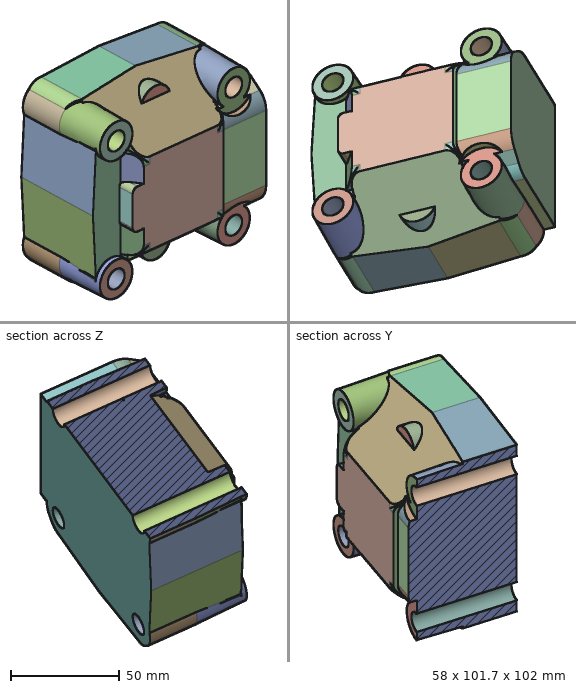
import cadquery as cq
import math

HOLE_OFFSET = 36.75
HOLE_DIAMETER = 10.5
BOSS_BASE_RADIUS = 10.85
BOSS_TIP_RADIUS = 10.15
BOSS_END = 52.0
HEAD_CLEARANCE_RADIUS = 13.0

SIDE_LENGTH = 25.0
STEP_DEPTH = 49.0
COVER_DEPTH = 58.0
TOP_RIDGE = 51.0
FRONT_RIDGE = 48.55
WALL_END_Y = 36.2
WALL_END_Z = 48.6
CORNER_MIDDLE = (41.1, 47.5)
CORNER_ANGLE = math.radians(49)
FRONT_CORNER_Z = 32.6
FLANK_HALF_HEIGHT = 34.0
FLANK_LIP_REACH = 46.9
FLANK_LIP_HEIGHT = 36.0

COVER_HALF = 25.0
ROOF_SLOPE = (TOP_RIDGE - COVER_HALF) / (COVER_DEPTH - SIDE_LENGTH)
ROOF_ANGLE = math.atan(ROOF_SLOPE)
COVER_SIDE_SLOPE = 0.7
COVER_SIDE_HALF = 27.0
COVER_CORNER_RADIUS = 6.0
CORNER_CUT_DEPTH = 3.2

RIB_HALF_HEIGHT = 12.0
RIB_REACH = 31.95
RIB_RADIUS = 3.0

PAD_REACH = 53.15
PAD_HALF_HEIGHT = 36.1
PAD_DEPTH = 56.35
PAD_CURVE_START = 38.15
PAD_BEVEL_START = 46.5

HUMP_RADIUS = 18.63 / 2
HUMP_CENTRE_Z = 36.9
HUMP_END = 38.8

SIDES = (-1, 1)


def on_boss_circle(angle, y_side, z_side):
    """Point of a corner circle; the angle is measured from Y towards Z."""
    y = HOLE_OFFSET + BOSS_BASE_RADIUS * math.cos(angle)
    z = HOLE_OFFSET + BOSS_BASE_RADIUS * math.sin(angle)
    return (y_side * y, z_side * z)


def extrude_x(outline, start, end):
    """Extrude a closed YZ outline, drawn at X = 0, between two depths."""
    return outline.extrude(end - start).translate((start, 0, 0))


def extrude_both(plane, points, half):
    """Extrude a closed polygon to both sides of its plane."""
    return cq.Workplane(plane).polyline(points).close().extrude(half, both=True)


def corner_start(y_side):
    """Angle on the boss circle where a corner begins, next to the side wall."""
    if y_side > 0:
        return 0
    return math.asin((FRONT_CORNER_Z - HOLE_OFFSET) / BOSS_BASE_RADIUS)


def base_quarter(y_side, z_side):
    """One quarter of the base: half a wall on each side and the two-arc corner between them."""
    start = corner_start(y_side)
    side_y = -FRONT_RIDGE if y_side < 0 else HOLE_OFFSET + BOSS_BASE_RADIUS
    outline = (
        cq.Workplane("YZ").lineTo(0, z_side * TOP_RIDGE)
        .lineTo(y_side * WALL_END_Y, z_side * WALL_END_Z)
        .threePointArc(
            (y_side * CORNER_MIDDLE[0], z_side * CORNER_MIDDLE[1]),
            on_boss_circle(CORNER_ANGLE, y_side, z_side),
        )
        .threePointArc(
            on_boss_circle((start + CORNER_ANGLE) / 2, y_side, z_side),
            on_boss_circle(start, y_side, z_side),
        )
        .lineTo(side_y, 0).close()
    )
    return extrude_x(outline, 0, STEP_DEPTH)


def make_base():
    """Base outline cut back by the roofs and, at its corners, to the start of the bosses."""
    base = cq.Workplane("YZ")
    for y_side in SIDES:
        for z_side in SIDES:
            base = base.union(base_quarter(y_side, z_side))
    end_half = COVER_HALF + ROOF_SLOPE * (COVER_DEPTH - STEP_DEPTH)
    roof = [
        (0, TOP_RIDGE), (SIDE_LENGTH, TOP_RIDGE), (STEP_DEPTH, end_half),
        (STEP_DEPTH, -end_half), (SIDE_LENGTH, -TOP_RIDGE), (0, -TOP_RIDGE),
    ]
    base = base.intersect(extrude_both("XZ", roof, PAD_REACH))
    joint = on_boss_circle(CORNER_ANGLE, 1, 1)[0]
    cut_depth = SIDE_LENGTH + CORNER_CUT_DEPTH
    plan = [
        (0, PAD_REACH), (SIDE_LENGTH, PAD_REACH), (SIDE_LENGTH, joint), (cut_depth, HOLE_OFFSET),
        (STEP_DEPTH, HOLE_OFFSET), (STEP_DEPTH, -HOLE_OFFSET), (cut_depth, -HOLE_OFFSET),
        (SIDE_LENGTH, -joint), (SIDE_LENGTH, -PAD_REACH), (0, -PAD_REACH),
    ]
    return base.intersect(extrude_both("XY", plan, TOP_RIDGE))


def make_front_flank():
    """-Y wall, carried past the straight side up to the shoulder between the bosses."""
    circle_start = on_boss_circle(corner_start(-1), -1, 1)
    taper = (FRONT_RIDGE + circle_start[0]) / FRONT_CORNER_Z
    edge_y = -FRONT_RIDGE + taper * FLANK_HALF_HEIGHT
    half = [
        (-FRONT_RIDGE, 0), (edge_y, FLANK_HALF_HEIGHT), (-FLANK_LIP_REACH, FLANK_HALF_HEIGHT),
        (-FLANK_LIP_REACH, FLANK_LIP_HEIGHT), (-HOLE_OFFSET, FLANK_LIP_HEIGHT),
    ]
    outline = half + [(y, -z) for y, z in reversed(half[1:])]
    return extrude_x(cq.Workplane("YZ").polyline(outline).close(), SIDE_LENGTH, STEP_DEPTH)


def make_cover_block(slope):
    """Cover block with two roofs sloping towards +Z and -Z and rounded sides in plan."""
    length = COVER_DEPTH - STEP_DEPTH
    start_half = COVER_HALF + slope * length
    roof = [
        (STEP_DEPTH, start_half), (COVER_DEPTH, COVER_HALF),
        (COVER_DEPTH, -COVER_HALF), (STEP_DEPTH, -start_half),
    ]
    block = (
        cq.Workplane("XY").box(length, 2 * COVER_SIDE_HALF, 2 * start_half)
        .translate((STEP_DEPTH + length / 2, 0, 0))
        .edges("|Z and >X").fillet(COVER_CORNER_RADIUS)
    )
    return block.intersect(extrude_both("XZ", roof, start_half))


def make_cover():
    """Two roofed blocks crossed at a right angle."""
    side_block = make_cover_block(COVER_SIDE_SLOPE).rotate((0, 0, 0), (1, 0, 0), 90)
    return make_cover_block(ROOF_SLOPE).union(side_block)


def make_rib():
    outline = cq.Workplane("YZ").center(-RIB_REACH / 2, 0).rect(RIB_REACH, 2 * RIB_HALF_HEIGHT)
    return extrude_x(outline, STEP_DEPTH, COVER_DEPTH).edges("|X and <Y").fillet(RIB_RADIUS)


def make_pad():
    """+Y pad: flat sides, rounded into a bevel parallel to the roof, then into a flat end."""
    curve_radius = (PAD_BEVEL_START - PAD_CURVE_START) / math.sin(ROOF_ANGLE)
    bevel_z = PAD_HALF_HEIGHT - curve_radius * (1 - math.cos(ROOF_ANGLE))
    round_z = bevel_z - ROOF_SLOPE * (BOSS_END - PAD_BEVEL_START)
    end_radius = (PAD_DEPTH - BOSS_END) / (1 - math.sin(ROOF_ANGLE))
    end_z = round_z - end_radius * math.cos(ROOF_ANGLE)
    half = (
        cq.Workplane("XZ").moveTo(0, 0).lineTo(0, PAD_HALF_HEIGHT)
        .lineTo(PAD_CURVE_START, PAD_HALF_HEIGHT)
        .tangentArcPoint((PAD_BEVEL_START, bevel_z), relative=False)
        .lineTo(BOSS_END, round_z)
        .tangentArcPoint((PAD_DEPTH, end_z), relative=False)
        .lineTo(PAD_DEPTH, 0).close().extrude(-PAD_REACH)
    )
    return half.union(half.mirror("XY"))


def make_boss():
    """Tapered screw boss along X, centred on the X axis."""
    outline = [
        (0, 0), (0, BOSS_BASE_RADIUS), (SIDE_LENGTH, BOSS_BASE_RADIUS),
        (BOSS_END, BOSS_TIP_RADIUS), (BOSS_END, 0),
    ]
    return cq.Workplane("XY").polyline(outline).close().revolve(360, (0, 0, 0), (1, 0, 0))


def cylinder_x(radius, start, end, y, z):
    return extrude_x(cq.Workplane("YZ").center(y, z).circle(radius), start, end)


def make_body():
    body = make_base().union(make_front_flank()).union(make_cover()).union(make_rib()).union(make_pad())
    for z_side in SIDES:
        body = body.union(cylinder_x(HUMP_RADIUS, SIDE_LENGTH, HUMP_END, 0, z_side * HUMP_CENTRE_Z))
    return body


def add_bosses(body, places):
    for y, z in places:
        body = body.union(make_boss().translate((0, y, z)))
    return body


def cut_holes(body, places):
    """Drill the bosses and, on the pad side, clear room for the screw heads."""
    for y, z in places:
        body = body.cut(cylinder_x(HOLE_DIAMETER / 2, 0, BOSS_END, y, z))
        if y > 0:
            body = body.cut(cylinder_x(HEAD_CLEARANCE_RADIUS, BOSS_END, COVER_DEPTH, y, z))
    return body


boss_places = [(y_side * HOLE_OFFSET, z_side * HOLE_OFFSET) for y_side in SIDES for z_side in SIDES]
result = cut_holes(add_bosses(make_body(), boss_places), boss_places)